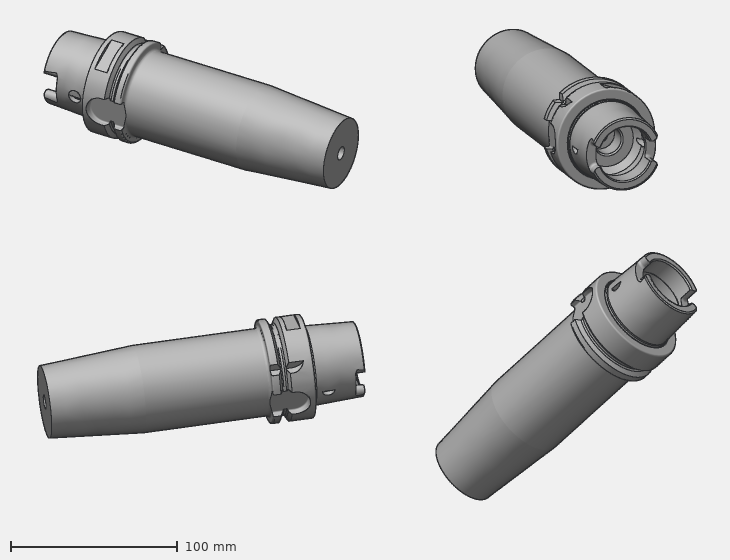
import cadquery as cq
import math

SHANK_END_X = -32.0
FLANGE_WIDTH = 26.0
TAPER_START_X = 103.0
NOSE_X = 160.0

TAPER_BASE_RADIUS = 24.26
TAPER_SLOPE = 1 / 20
SHANK_CHAMFER_LENGTH = 0.6
SHANK_CHAMFER_DEPTH = 1.0
RELIEF_LENGTH = 1.75
RELIEF_RUNOUT = 0.6
RELIEF_RADIUS = 24.0
FACE_RELIEF_RADIUS = 25.2
FACE_RELIEF_DEPTH = 0.4

FLANGE_RADIUS = 63.0 / 2
FLANGE_ROUNDING = 1.0
GROOVE_CENTRE_X = 18.0
GROOVE_TOP_WIDTH = 6.8
GROOVE_FLOOR_RADIUS = 55.0 / 2
GROOVE_FLANK_ANGLE = 30.0
GROOVE_FLOOR_WIDTH = 3.3
GROOVE_FLOOR_ROUNDING = 0.9

BODY_RADIUS = 53.0 / 2
NOSE_RADIUS = 44.0 / 2
BODY_FILLET = 2.0

MOUTH_RADIUS = 34.0 / 2
MOUTH_CHAMFER_LENGTH = 1.0
MOUTH_CHAMFER_DEPTH = 0.7
MOUTH_DEPTH = 12.7
CLAMP_RADIUS = 40.0 / 2
CLAMP_FACE_ANGLE = 60.0
CLAMP_END_X = -7.5
BORE_FLOOR_RADIUS = 16.0
THREAD_RADIUS = 17.0 / 2
THREAD_CHAMFER = 1.0
THREAD_DEPTH = 12.0
COOLANT_RADIUS = 8.4 / 2

DRIVE_SLOT_WIDTH = 12.54
NEAR_SLOT_DEPTH = 10.0
FAR_SLOT_DEPTH = 6.0
SLOT_LIP_RADIUS = 3.5
SLOT_CORNER_RADIUS = 1.6

ACCESS_X = -9.1
ACCESS_NEAR_RADIUS = 8.4 / 2
ACCESS_FAR_RADIUS = 7.5 / 2
ACCESS_RECESS = 0.1

KEYWAY_FLOOR = 26.5
KEYWAY_CENTRE_X = 12.5
NEAR_KEYWAY_WIDTH = 19.0
FAR_KEYWAY_WIDTH = 18.0
KEYWAY_FLOOR_FILLET = 0.9

NOTCH_FLOOR_Y = 20.0
NOTCH_WALL_Z = 19.7
NOTCH_CUTTER_RADIUS = 8.0
NOTCH_CENTRE_X = 12.9
FLAT_START_X = 3.5
FLAT_END_X = 11.8
FLAT_HALF_ANGLE = 21.2
FLAT_TILT = 22.0

CLEARANCE = 5.0


def taper_radius(x):
    return TAPER_BASE_RADIUS + TAPER_SLOPE * x


def box(x, y, z):
    """Block spanning the given (low, high) ranges."""
    sizes = [high - low for low, high in (x, y, z)]
    return cq.Workplane("XY").box(*sizes, centered=False).translate((x[0], y[0], z[0]))


def cylinder_along_y(x, z, radius, y_low, y_high):
    return cq.Workplane("XZ", origin=(x, y_low, z)).circle(radius).extrude(y_low - y_high)


def revolve_about_x(profile):
    solid = profile.close().revolve(360, (0, 0, 0), (1, 0, 0))
    return solid.rotate((0, 0, 0), (1, 0, 0), -90)


def make_outside():
    """Solid of revolution: shank, relief, flange and body."""
    end_radius = taper_radius(SHANK_END_X)
    chamfer_x = SHANK_END_X + SHANK_CHAMFER_LENGTH
    rounding = FLANGE_ROUNDING
    arc_offset = rounding * (1 - math.sqrt(0.5))
    fillet_x = FLANGE_WIDTH + BODY_FILLET
    fillet_mid = BODY_FILLET * (1 - math.sqrt(0.5))
    profile = (
        cq.Workplane("XY")
        .moveTo(SHANK_END_X, 0)
        .lineTo(SHANK_END_X, end_radius - SHANK_CHAMFER_DEPTH)
        .lineTo(chamfer_x, taper_radius(chamfer_x))
        .lineTo(-RELIEF_LENGTH, taper_radius(-RELIEF_LENGTH))
        .lineTo(RELIEF_RUNOUT - RELIEF_LENGTH, RELIEF_RADIUS)
        .lineTo(-RELIEF_RUNOUT, RELIEF_RADIUS)
        .lineTo(FACE_RELIEF_DEPTH, RELIEF_RADIUS + FACE_RELIEF_DEPTH)
        .lineTo(FACE_RELIEF_DEPTH, FACE_RELIEF_RADIUS - FACE_RELIEF_DEPTH)
        .lineTo(0, FACE_RELIEF_RADIUS)
        .lineTo(0, FLANGE_RADIUS - rounding)
        .threePointArc((arc_offset, FLANGE_RADIUS - arc_offset), (rounding, FLANGE_RADIUS))
        .lineTo(FLANGE_WIDTH - rounding, FLANGE_RADIUS)
        .threePointArc(
            (FLANGE_WIDTH - arc_offset, FLANGE_RADIUS - arc_offset),
            (FLANGE_WIDTH, FLANGE_RADIUS - rounding),
        )
        .lineTo(FLANGE_WIDTH, BODY_RADIUS + BODY_FILLET)
        .threePointArc(
            (FLANGE_WIDTH + fillet_mid, BODY_RADIUS + fillet_mid),
            (fillet_x, BODY_RADIUS),
        )
        .lineTo(TAPER_START_X, BODY_RADIUS)
        .lineTo(NOSE_X, NOSE_RADIUS)
        .lineTo(NOSE_X, 0)
    )
    return revolve_about_x(profile)


def make_gripper_groove():
    """Ring with sloped flanks over a narrow straight-sided floor with rounded corners."""
    slope = math.tan(math.radians(GROOVE_FLANK_ANGLE))
    half_top = GROOVE_TOP_WIDTH / 2
    half_floor = GROOVE_FLOOR_WIDTH / 2
    flank_end_radius = FLANGE_RADIUS - (half_top - half_floor) / slope
    outer_radius = FLANGE_RADIUS + CLEARANCE
    half_outer = half_top + CLEARANCE * slope
    profile = (
        cq.Workplane("XY")
        .moveTo(GROOVE_CENTRE_X - half_outer, outer_radius)
        .lineTo(GROOVE_CENTRE_X - half_floor, flank_end_radius)
        .lineTo(GROOVE_CENTRE_X - half_floor, GROOVE_FLOOR_RADIUS)
        .lineTo(GROOVE_CENTRE_X + half_floor, GROOVE_FLOOR_RADIUS)
        .lineTo(GROOVE_CENTRE_X + half_floor, flank_end_radius)
        .lineTo(GROOVE_CENTRE_X + half_outer, outer_radius)
    )
    ring = revolve_about_x(profile)
    floor_edges = cq.selectors.RadiusNthSelector(0)
    return ring.edges(floor_edges).fillet(GROOVE_FLOOR_ROUNDING)


def make_bore():
    """Shank bore with clamping recess, coolant pipe seat and through coolant hole."""
    lip_x = SHANK_END_X + MOUTH_DEPTH
    clamp_start_x = lip_x + (CLAMP_RADIUS - MOUTH_RADIUS) / math.tan(math.radians(CLAMP_FACE_ANGLE))
    floor_x = CLAMP_END_X + CLAMP_RADIUS - BORE_FLOOR_RADIUS
    seat_end_x = floor_x + THREAD_DEPTH
    profile = (
        cq.Workplane("XY")
        .moveTo(SHANK_END_X, 0)
        .lineTo(SHANK_END_X, MOUTH_RADIUS + MOUTH_CHAMFER_DEPTH)
        .lineTo(SHANK_END_X + MOUTH_CHAMFER_LENGTH, MOUTH_RADIUS)
        .lineTo(lip_x, MOUTH_RADIUS)
        .lineTo(clamp_start_x, CLAMP_RADIUS)
        .lineTo(CLAMP_END_X, CLAMP_RADIUS)
        .lineTo(floor_x, BORE_FLOOR_RADIUS)
        .lineTo(floor_x, THREAD_RADIUS + THREAD_CHAMFER)
        .lineTo(floor_x + THREAD_CHAMFER, THREAD_RADIUS)
        .lineTo(seat_end_x, THREAD_RADIUS)
        .lineTo(seat_end_x, COOLANT_RADIUS)
        .lineTo(NOSE_X, COOLANT_RADIUS)
        .lineTo(NOSE_X, 0)
    )
    return revolve_about_x(profile)


def make_drive_slot(side, depth):
    """Slot open to the shank end; its flanks curl outwards into the taper."""
    half = DRIVE_SLOT_WIDTH / 2
    start_x = SHANK_END_X - CLEARANCE
    end_x = SHANK_END_X + depth
    shank_radius = taper_radius(end_x)
    lip_z = half + SLOT_LIP_RADIUS
    centre_radius = shank_radius - SLOT_LIP_RADIUS
    lip_y = math.sqrt(centre_radius**2 - lip_z**2)
    lean = math.atan2(lip_z, lip_y)
    tangent_y = shank_radius * math.cos(lean)
    tangent_z = shank_radius * math.sin(lean)
    mid_angle = (lean - math.pi / 2) / 2
    mid_y = lip_y + SLOT_LIP_RADIUS * math.cos(mid_angle)
    mid_z = lip_z + SLOT_LIP_RADIUS * math.sin(mid_angle)
    outer_y = tangent_y + CLEARANCE
    runoff_y = tangent_y - CLEARANCE * math.sin(lean)
    runoff_z = tangent_z + CLEARANCE * math.cos(lean)
    slot = (
        cq.Workplane("YZ", origin=(start_x, 0, 0))
        .moveTo(0, -half)
        .lineTo(lip_y, -half)
        .threePointArc((mid_y, -mid_z), (tangent_y, -tangent_z))
        .lineTo(runoff_y, -runoff_z)
        .lineTo(outer_y, -runoff_z)
        .lineTo(outer_y, runoff_z)
        .lineTo(runoff_y, runoff_z)
        .lineTo(tangent_y, tangent_z)
        .threePointArc((mid_y, mid_z), (lip_y, half))
        .lineTo(0, half)
        .close()
        .extrude(end_x - start_x)
    )
    flank_zone = cq.selectors.BoxSelector(
        (end_x - SLOT_CORNER_RADIUS, CLEARANCE, -tangent_z),
        (end_x + SLOT_CORNER_RADIUS, tangent_y, tangent_z),
    )
    slot = slot.faces(">X").edges(flank_zone).fillet(SLOT_CORNER_RADIUS)
    return slot if side > 0 else slot.mirror("XZ")


def make_access_hole():
    """Radial hole through both walls, open below the axis only, with a shallow upper recess."""
    outer_y = TAPER_BASE_RADIUS + CLEARANCE
    near = cylinder_along_y(ACCESS_X, 0, ACCESS_NEAR_RADIUS, -outer_y, 0)
    far = cylinder_along_y(ACCESS_X, 0, ACCESS_FAR_RADIUS, 0, outer_y)
    lower = box((SHANK_END_X, 0), (-outer_y, outer_y), (-outer_y, 0))
    recess_core = cq.Workplane("YZ", origin=(SHANK_END_X, 0, 0))
    recess_core = recess_core.circle(taper_radius(SHANK_END_X) - ACCESS_RECESS).workplane(
        offset=-SHANK_END_X
    )
    recess_core = recess_core.circle(TAPER_BASE_RADIUS - ACCESS_RECESS).loft()
    return near.union(far).intersect(lower).union(near.cut(recess_core))


def make_keyway(side, width):
    """Flat-floored key slot with a round end, open towards the body."""
    radius = width / 2
    end_x = FLANGE_WIDTH + BODY_FILLET
    keyway = (
        cq.Workplane("XZ", origin=(0, KEYWAY_FLOOR, 0))
        .moveTo(KEYWAY_CENTRE_X, radius)
        .threePointArc((KEYWAY_CENTRE_X - radius, 0), (KEYWAY_CENTRE_X, -radius))
        .lineTo(end_x, -radius)
        .lineTo(end_x, radius)
        .close()
        .extrude(KEYWAY_FLOOR - FLANGE_RADIUS - CLEARANCE)
        .faces("<Y")
        .edges()
        .fillet(KEYWAY_FLOOR_FILLET)
    )
    return keyway if side > 0 else keyway.mirror("XZ")


def make_orientation_notch():
    """Corner notch in the flange rim with a round run-out."""
    radius = NOTCH_CUTTER_RADIUS
    outer = FLANGE_RADIUS + CLEARANCE
    centre_z = NOTCH_WALL_Z + radius
    channel = box(
        (NOTCH_CENTRE_X, FLANGE_WIDTH + BODY_FILLET),
        (NOTCH_FLOOR_Y, outer),
        (NOTCH_WALL_Z, centre_z + radius),
    )
    return channel.union(cylinder_along_y(NOTCH_CENTRE_X, centre_z, radius, NOTCH_FLOOR_Y, outer))


def make_marking_flat():
    """Chordal flat across the flange rim, tilted towards -Y."""
    chord_height = FLANGE_RADIUS * math.cos(math.radians(FLAT_HALF_ANGLE))
    flat = box(
        (FLAT_START_X, FLAT_END_X),
        (-FLANGE_RADIUS, FLANGE_RADIUS),
        (chord_height, FLANGE_RADIUS + CLEARANCE),
    )
    return flat.rotate((0, 0, 0), (1, 0, 0), FLAT_TILT)


result = (
    make_outside()
    .cut(make_gripper_groove())
    .cut(make_bore())
    .cut(make_drive_slot(-1, NEAR_SLOT_DEPTH))
    .cut(make_drive_slot(1, FAR_SLOT_DEPTH))
    .cut(make_access_hole())
    .cut(make_keyway(-1, NEAR_KEYWAY_WIDTH))
    .cut(make_keyway(1, FAR_KEYWAY_WIDTH))
    .cut(make_orientation_notch())
    .cut(make_marking_flat())
)